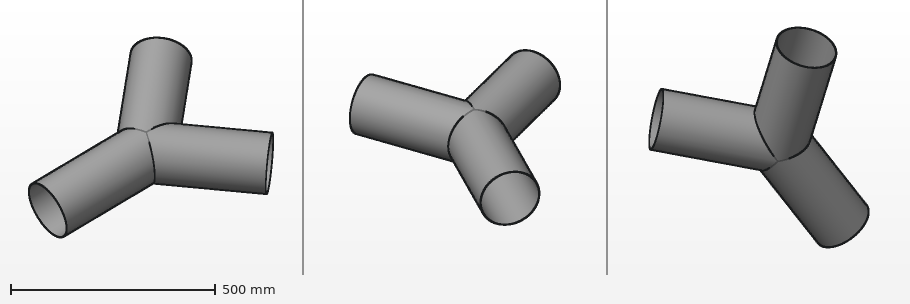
import cadquery as cq
import math

outer_diameter = 152.0
inner_diameter = 148.0
overall_length = 574.0
branch_length = 305.0
branch_angle = 45.0

angle = math.radians(branch_angle)
branch_reach = branch_length * math.cos(angle) + outer_diameter / 2 * math.sin(angle)
stem_length = overall_length - branch_reach


def leg(diameter, length, direction):
    """Solid cylinder from the junction centre along a horizontal direction."""
    plane = cq.Plane(origin=(0, 0, 0), xDir=(0, 0, 1), normal=direction)
    return cq.Workplane(plane).circle(diameter / 2).extrude(length)


def wye(diameter):
    """Stem and two mirrored branches joined at the junction centre."""
    body = leg(diameter, stem_length, (0, -1, 0))
    for side in (-1, 1):
        direction = (side * math.sin(angle), math.cos(angle), 0)
        body = body.union(leg(diameter, branch_length, direction))
    return body


result = wye(outer_diameter).cut(wye(inner_diameter))